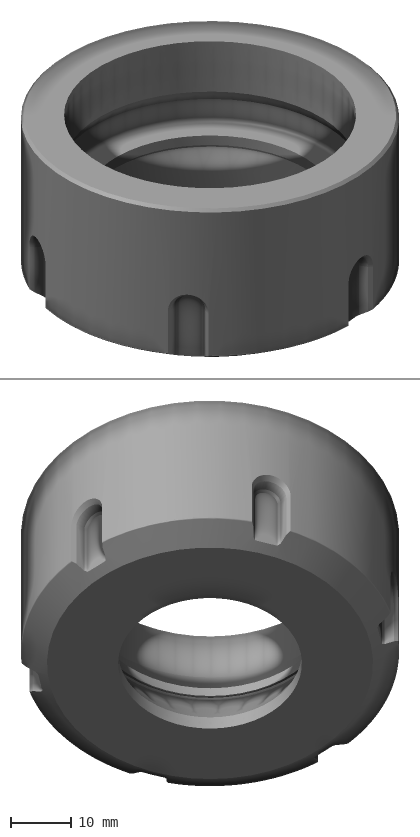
import cadquery as cq

outer_radius = 31.35
height = 30.7
top_chamfer = 0.5
nose_radius = 27.0
nose_height = 2.65
nose_edge_rounding = 0.345
edge_search_margin = 0.05

bore_radius = 48.4 / 2
bore_depth = 9.65
relief_radius = 50.5 / 2
relief_cone_depth = 11.65
relief_floor_depth = 15.9
relief_fillet = 0.75
lip_radius = 41.0 / 2
lip_bottom_depth = 17.75
groove_radius = 20.95
groove_bottom_depth = 18.3
mouth_radius = 30.5 / 2
mouth_height = 2.65

slot_count = 6
slot_first_angle = -90.0
slot_round_height = 10.8
slot_floor_radius = 28.65
slot_floor_half_width = 1.95
slot_wall_inner_radius = 29.0
slot_wall_inner_half_width = 2.4
slot_wall_outer_radius = 30.5
slot_wall_outer_half_width = 2.9
slot_mouth_radius = 32.0
slot_flare = 0.75
slot_mouth_half_width = slot_wall_outer_half_width + slot_flare * (slot_mouth_radius - slot_wall_outer_radius)


def make_body():
    """Solid disc with a conical nose and a broken top edge."""
    blank = cq.Workplane("XY").circle(outer_radius).extrude(height)
    blank = blank.faces(">Z").chamfer(top_chamfer)
    blank = blank.faces("<Z").chamfer(nose_height, outer_radius - nose_radius)
    nose_edge = cq.selectors.BoxSelector(
        (-2 * outer_radius, -2 * outer_radius, nose_height - edge_search_margin),
        (2 * outer_radius, 2 * outer_radius, nose_height + edge_search_margin),
        boundingbox=True,
    )
    return blank.edges(nose_edge).edges("%CIRCLE").fillet(nose_edge_rounding)


def make_bore():
    """Revolved cavity: bore, relief with filleted floor, lip, groove, cone and mouth."""
    fillet_middle = relief_fillet * (1 - 0.5 ** 0.5)
    floor_z = height - relief_floor_depth
    return (
        cq.Workplane("XZ")
        .moveTo(0, height)
        .lineTo(bore_radius, height)
        .lineTo(bore_radius, height - bore_depth)
        .lineTo(relief_radius, height - relief_cone_depth)
        .lineTo(relief_radius, floor_z + relief_fillet)
        .threePointArc(
            (relief_radius - fillet_middle, floor_z + fillet_middle),
            (relief_radius - relief_fillet, floor_z),
        )
        .lineTo(lip_radius, floor_z)
        .lineTo(lip_radius, height - lip_bottom_depth)
        .lineTo(groove_radius, height - lip_bottom_depth)
        .lineTo(groove_radius, height - groove_bottom_depth)
        .lineTo(mouth_radius, mouth_height)
        .lineTo(mouth_radius, 0)
        .lineTo(0, 0)
        .close()
        .revolve(360, (0, 0, 0), (0, 1, 0))
    )


def make_slot():
    """Cutter for one slot facing +X: tapered channel with a round end."""
    half_section = [
        (slot_floor_radius, slot_floor_half_width),
        (slot_wall_inner_radius, slot_wall_inner_half_width),
        (slot_wall_outer_radius, slot_wall_outer_half_width),
        (slot_mouth_radius, slot_mouth_half_width),
    ]
    mirrored = [(radius, -half_width) for radius, half_width in reversed(half_section)]
    plane = cq.Workplane("XY").workplane(offset=slot_round_height)
    channel = plane.polyline(half_section + mirrored).close().extrude(-slot_round_height)
    axis_points = [(slot_mouth_radius, 0), (slot_floor_radius, 0)]
    round_end = plane.polyline(half_section + axis_points).close().revolve(360, (0, 0, 0), (1, 0, 0))
    return channel.union(round_end)


result = make_body().cut(make_bore())
slot = make_slot()
for index in range(slot_count):
    angle = slot_first_angle + index * 360 / slot_count
    result = result.cut(slot.rotate((0, 0, 0), (0, 0, 1), angle))